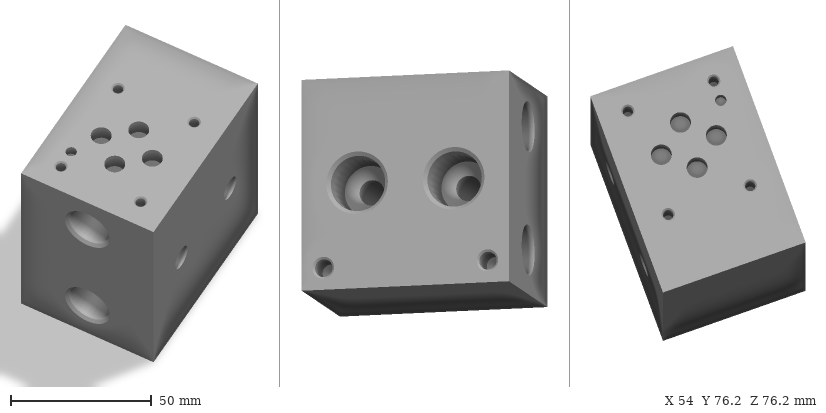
import cadquery as cq
import math

LENGTH_X = 53.95
LENGTH_Y = 76.2
HEIGHT = 76.2

DRILL_POINT_ANGLE = 118.0

FRONT_PORT_MOUTH = 18.2
FRONT_PORT_DIAMETER = 16.1
FRONT_PORT_END = 15.0
FRONT_PORT_CHAMFER = 1.1
FRONT_PORT_DEPTH = 15.25
FRONT_PORT_SPACING = 44.5
FRONT_PORT_CENTER_Z = 38.25

MAIN_PORT_MOUTH = 22.6
MAIN_PORT_DIAMETER = 20.0
MAIN_PORT_END = 18.5
MAIN_PORT_CHAMFER = 1.4
MAIN_PORT_DEPTH = 18.3
MAIN_PORT_SPACING = 35.5
GALLERY_DIAMETER = 9.15

FIXING_MOUTH = 7.9
FIXING_DIAMETER = 6.4
FIXING_DEPTH = 11.4
FIXING_INSET = 7.9

VALVE_CENTER_X = 0.1
VALVE_BOLT_MOUTH = 4.8
VALVE_BOLT_DIAMETER = 3.65
VALVE_BOLT_DEPTH = 9.15
REAR_BOLT_Y = 12.0
BOLT_SPACING_Y = 40.4
REAR_BOLT_SPACING = 31.0
FRONT_BOLT_SPACING = 32.45
VALVE_PORT_DIAMETER = 7.5
VALVE_PORT_DEPTH = 6.1
VALVE_PORT_CENTER_Y = -9.45
VALVE_PORT_SPACING_X = 20.8
VALVE_PORT_SPACING_Y = 17.5
PIN_DIAMETER = 4.05
PIN_DEPTH = 3.8
PIN_Y = -20.95


def pointed_hole(mouth, diameter, end_diameter, chamfer, depth):
    """Cutter along +Z from its mouth at Z = 0: chamfer, bore to depth, then a drill point."""
    end_radius = end_diameter / 2
    point_length = end_radius / math.tan(math.radians(DRILL_POINT_ANGLE / 2))
    half_section = (
        cq.Workplane("XZ")
        .moveTo(0, 0)
        .lineTo(mouth / 2, 0)
        .lineTo(diameter / 2, chamfer)
        .lineTo(end_radius, depth)
        .lineTo(0, depth + point_length)
        .close()
    )
    return half_section.revolve(360, (0, 0, 0), (0, 1, 0))


def chamfered_hole(mouth, diameter, depth):
    """Straight pointed hole with a 45 degree chamfer at its mouth."""
    return pointed_hole(mouth, diameter, diameter, (mouth - diameter) / 2, depth)


def into_front(cutter, z):
    """Aim a cutter along +Y from the -Y face, on the middle of X."""
    return cutter.rotate((0, 0, 0), (1, 0, 0), -90).translate((0, -LENGTH_Y / 2, z))


def into_side(cutter, y, z):
    """Aim a cutter along +X from the -X face."""
    return cutter.rotate((0, 0, 0), (0, 1, 0), 90).translate((-LENGTH_X / 2, y, z))


def into_top(cutter, x, y):
    """Aim a cutter down from the top face, with x measured from the valve centre line."""
    return cutter.rotate((0, 0, 0), (1, 0, 0), 180).translate((VALVE_CENTER_X + x, y, HEIGHT))


result = cq.Workplane("XY").box(LENGTH_X, LENGTH_Y, HEIGHT, centered=(True, True, False))

front_port = pointed_hole(
    FRONT_PORT_MOUTH, FRONT_PORT_DIAMETER, FRONT_PORT_END, FRONT_PORT_CHAMFER, FRONT_PORT_DEPTH
)
for direction in (-1, 1):
    port_z = FRONT_PORT_CENTER_Z + direction * FRONT_PORT_SPACING / 2
    result = result.cut(into_front(front_port, port_z))

main_port = pointed_hole(
    MAIN_PORT_MOUTH, MAIN_PORT_DIAMETER, MAIN_PORT_END, MAIN_PORT_CHAMFER, MAIN_PORT_DEPTH
)
gallery = cq.Workplane("XY").circle(GALLERY_DIAMETER / 2).extrude(LENGTH_X)
fixing_hole = chamfered_hole(FIXING_MOUTH, FIXING_DIAMETER, FIXING_DEPTH)
for direction in (-1, 1):
    port_y = direction * MAIN_PORT_SPACING / 2
    fixing_y = direction * (LENGTH_Y / 2 - FIXING_INSET)
    result = result.cut(into_side(main_port, port_y, HEIGHT / 2))
    result = result.cut(into_side(gallery, port_y, HEIGHT / 2))
    result = result.cut(into_side(fixing_hole, fixing_y, FIXING_INSET))

bolt_hole = chamfered_hole(VALVE_BOLT_MOUTH, VALVE_BOLT_DIAMETER, VALVE_BOLT_DEPTH)
front_bolt_y = REAR_BOLT_Y - BOLT_SPACING_Y
for direction in (-1, 1):
    result = result.cut(into_top(bolt_hole, direction * REAR_BOLT_SPACING / 2, REAR_BOLT_Y))
    result = result.cut(into_top(bolt_hole, direction * FRONT_BOLT_SPACING / 2, front_bolt_y))

valve_port = cq.Workplane("XY").circle(VALVE_PORT_DIAMETER / 2).extrude(VALVE_PORT_DEPTH)
for direction in (-1, 1):
    port_x = direction * VALVE_PORT_SPACING_X / 2
    port_y = VALVE_PORT_CENTER_Y + direction * VALVE_PORT_SPACING_Y / 2
    result = result.cut(into_top(valve_port, port_x, VALVE_PORT_CENTER_Y))
    result = result.cut(into_top(valve_port, 0, port_y))

pin_hole = cq.Workplane("XY").circle(PIN_DIAMETER / 2).extrude(PIN_DEPTH)
result = result.cut(into_top(pin_hole, -FRONT_BOLT_SPACING / 2, PIN_Y))